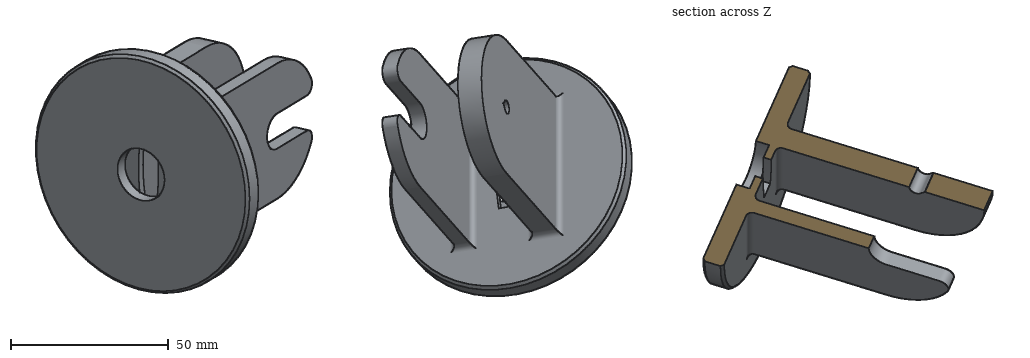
import cadquery as cq
import math

plate_diameter = 80.0
plate_thickness = 7.2
plate_chamfer = 1.0

overall_depth = 77.2
lug_radius = 23.2
pivot_y = overall_depth - lug_radius
lug_outer_x = 17.2
thick_lug_width = 8.0
thin_lug_width = 5.1
root_fillet = 1.9

pivot_hole_radius = 2.2
slot_half_width = 6.0
slot_tip_fillet = 3.2

bore_radius = 8.8
bore_depth = 4.5
opening_half_length = 12.0
opening_half_width = 3.8
opening_end_half_width = 2.8


def make_plate():
    plate = cq.Workplane("XZ").circle(plate_diameter / 2).extrude(-plate_thickness)
    return plate.edges().chamfer(plate_chamfer)


def make_lug(start_x, width):
    """Lug with a full-round end, spanning start_x to start_x + width."""
    return (
        cq.Workplane("YZ", origin=(start_x, 0, 0))
        .moveTo(plate_thickness, -lug_radius)
        .lineTo(pivot_y, -lug_radius)
        .threePointArc((pivot_y + lug_radius, 0), (pivot_y, lug_radius))
        .lineTo(plate_thickness, lug_radius)
        .close()
        .extrude(width)
    )


def make_pivot_hole():
    """Teardrop with its point, formed by two 45 degree tangents, toward +Y."""
    tangent_offset = pivot_hole_radius * math.sqrt(0.5)
    return (
        cq.Workplane("YZ", origin=(-lug_outer_x, 0, 0))
        .moveTo(pivot_y + tangent_offset, tangent_offset)
        .threePointArc(
            (pivot_y - pivot_hole_radius, 0),
            (pivot_y + tangent_offset, -tangent_offset),
        )
        .lineTo(pivot_y + 2 * tangent_offset, 0)
        .close()
        .extrude(thick_lug_width)
    )


def make_slotted_lug():
    start_x = lug_outer_x - thin_lug_width
    slot = (
        cq.Workplane("YZ", origin=(start_x, 0, 0))
        .moveTo(overall_depth, slot_half_width)
        .lineTo(pivot_y, slot_half_width)
        .threePointArc((pivot_y - slot_half_width, 0), (pivot_y, -slot_half_width))
        .lineTo(overall_depth, -slot_half_width)
        .close()
        .extrude(thin_lug_width)
    )
    lug = make_lug(start_x, thin_lug_width).cut(slot)
    tip_y = pivot_y + math.sqrt(lug_radius**2 - slot_half_width**2)
    for side in (-1, 1):
        tip = (start_x + thin_lug_width / 2, tip_y, side * slot_half_width)
        lug = lug.edges(cq.selectors.NearestToPointSelector(tip)).fillet(slot_tip_fillet)
    return lug


def make_bore():
    """Round bore with an upright slot beyond it, whose long sides bulge outward."""
    bore = cq.Workplane("XZ").circle(bore_radius).extrude(-bore_depth)
    opening = (
        cq.Workplane("XZ", origin=(0, bore_depth, 0))
        .moveTo(-opening_end_half_width, -opening_half_length)
        .threePointArc((-opening_half_width, 0), (-opening_end_half_width, opening_half_length))
        .lineTo(opening_end_half_width, opening_half_length)
        .threePointArc((opening_half_width, 0), (opening_end_half_width, -opening_half_length))
        .close()
        .extrude(-(plate_thickness - bore_depth))
    )
    return bore.union(opening)


thick_lug = make_lug(-lug_outer_x, thick_lug_width)
body = make_plate().union(thick_lug).union(make_slotted_lug())

root_reach = lug_radius + root_fillet
root_box = cq.selectors.BoxSelector(
    (-root_reach, plate_thickness - plate_chamfer / 2, -root_reach),
    (root_reach, plate_thickness + plate_chamfer / 2, root_reach),
    boundingbox=True,
)
body = body.edges(root_box).fillet(root_fillet)

result = body.cut(make_bore()).cut(make_pivot_hole())